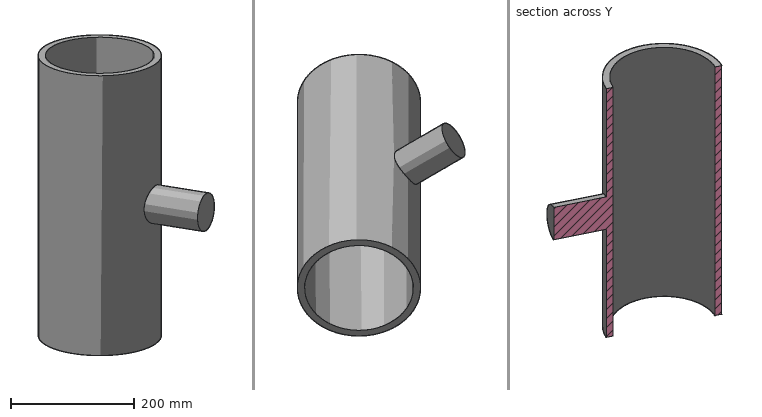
import cadquery as cq

pipe_length = 481.0
pipe_outer_diameter = 200.0
wall_thickness = 12.0
pipe_inner_diameter = pipe_outer_diameter - 2 * wall_thickness

overall_width = 291.0
branch_diameter = 63.5
branch_height = pipe_length / 2
branch_reach = overall_width - pipe_outer_diameter / 2


def vertical_cylinder(diameter):
    """Cylinder on the Z axis, as long as the main pipe."""
    return cq.Workplane("XY").circle(diameter / 2).extrude(pipe_length)


def branch_cylinder():
    """Branch from the pipe axis out to its free end."""
    return (
        cq.Workplane("YZ")
        .center(0, branch_height)
        .circle(branch_diameter / 2)
        .extrude(branch_reach)
    )


pipe_with_branch = vertical_cylinder(pipe_outer_diameter).union(branch_cylinder())
result = pipe_with_branch.cut(vertical_cylinder(pipe_inner_diameter))